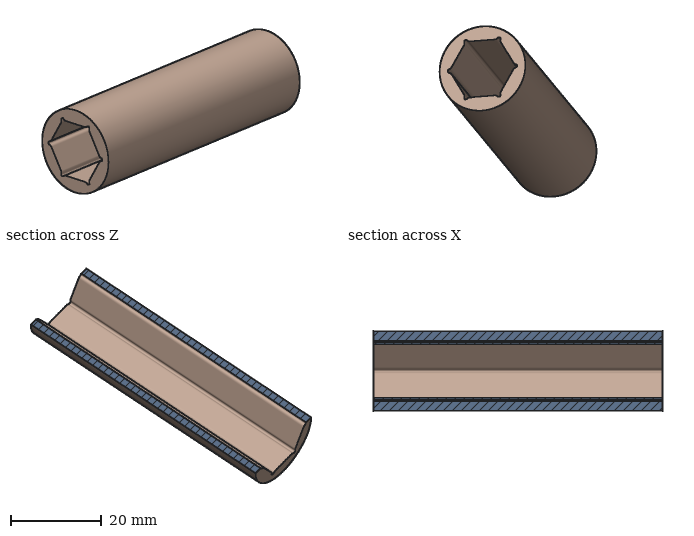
import cadquery as cq
import math

outer_diameter = 19.51
length = 63.71
hex_across_flats = 12.95
relief_radius = 0.4
mouth_radius = 0.8

corner_count = 6
corner_pitch = 2 * math.pi / corner_count
flat_distance = hex_across_flats / 2
corner_distance = flat_distance / math.cos(corner_pitch / 2)

center_spacing = relief_radius + mouth_radius
mouth_setback = math.sqrt(center_spacing**2 - mouth_radius**2)

flat_direction = (math.pi + corner_pitch) / 2
mouth_center_direction = flat_direction - math.asin(mouth_radius / center_spacing)

back_face = cq.Workplane("XZ", origin=(0, length / 2, 0))


def offset_point(origin, distance, angle):
    """Point at a distance and angle from another point of the profile plane."""
    return (origin[0] + distance * math.cos(angle), origin[1] + distance * math.sin(angle))


def mouth_arc_points(corner, corner_angle, side):
    """Flat end, middle and relief end of the mouth rounding on one side (-1 or +1) of a corner."""
    flat_end = offset_point(corner, mouth_setback, corner_angle + side * flat_direction)
    relief_end = offset_point(corner, relief_radius, corner_angle + side * mouth_center_direction)
    center = offset_point(corner, center_spacing, corner_angle + side * mouth_center_direction)
    toward_middle = math.atan2(
        flat_end[1] + relief_end[1] - 2 * center[1],
        flat_end[0] + relief_end[0] - 2 * center[0],
    )
    middle = offset_point(center, mouth_radius, toward_middle)
    return flat_end, middle, relief_end


def make_sleeve():
    """Plain round bar with its axis along Y."""
    return back_face.circle(outer_diameter / 2).extrude(length)


def make_bore():
    """Hexagonal through bore with a rounded relief at each corner, two of the corners on the X axis."""
    profile = back_face
    for index in range(corner_count):
        corner_angle = index * corner_pitch
        corner = offset_point((0, 0), corner_distance, corner_angle)
        tip = offset_point(corner, relief_radius, corner_angle)
        flat_in, middle_in, relief_in = mouth_arc_points(corner, corner_angle, -1)
        flat_out, middle_out, relief_out = mouth_arc_points(corner, corner_angle, 1)
        profile = profile.moveTo(*flat_in) if index == 0 else profile.lineTo(*flat_in)
        profile = profile.threePointArc(middle_in, relief_in)
        profile = profile.threePointArc(tip, relief_out)
        profile = profile.threePointArc(middle_out, flat_out)
    return profile.close().extrude(length)


result = make_sleeve().cut(make_bore())